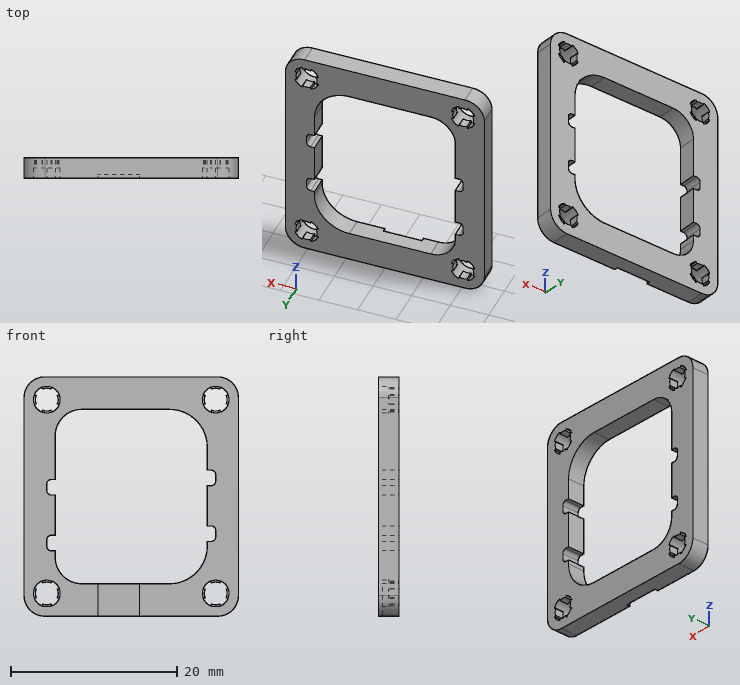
import cadquery as cq
import math

plate_width = 25.8
plate_height = 28.8
plate_thickness = 2.5
plate_corner_radius = 2.5
front_y = -plate_thickness / 2
back_y = plate_thickness / 2

window_width = 18.25
window_height = 20.95
window_left_radius = 3.17
window_right_radius = 4.52

notch_depth = 1.0
notch_height = 1.85
notch_corner_radius = 0.52
notch_pitch = 6.7
left_upper_notch_z = 1.12
right_upper_notch_z = 2.25

hole_diameter = 3.2
hole_spacing_x = 20.3
hole_spacing_z = 23.3
ribs_per_hole = 4
rib_inner_radius = 1.35
rib_sweep_angle = 44.0
rib_length = plate_thickness / 2

recess_width = 4.98
recess_center_x = -1.5
recess_depth = 0.5


def block(x_min, x_max, z_min, z_max, y_min, y_max):
    """Axis-aligned box given by its limits."""
    size = (x_max - x_min, y_max - y_min, z_max - z_min)
    return cq.Workplane("XY").box(*size, centered=False).translate((x_min, y_min, z_min))


def make_plate():
    plate = cq.Workplane("XY").box(plate_width, plate_thickness, plate_height)
    return plate.edges("|Y").fillet(plate_corner_radius)


def make_window():
    window = cq.Workplane("XY").box(window_width, plate_thickness, window_height)
    window = window.edges("|Y and <X").fillet(window_left_radius)
    return window.edges("|Y and >X").fillet(window_right_radius)


def make_notch(side, center_z):
    """Through notch on the -X (side = -1) or +X (side = 1) edge of the window."""
    notch = block(
        0, window_width / 2 + notch_depth,
        -notch_height / 2, notch_height / 2,
        front_y, back_y,
    )
    notch = notch.edges("|Y and >X").fillet(notch_corner_radius)
    if side < 0:
        notch = notch.mirror("YZ")
    return notch.translate((0, 0, center_z))


def make_rib():
    """Crush rib on the +X wall of a hole: a ring sector at the back of the plate."""
    hub = cq.Workplane("XZ", origin=(0, back_y, 0))
    reach = hole_diameter
    half_width = reach * math.tan(math.radians(rib_sweep_angle / 2))
    outline = [(0, 0), (reach, -half_width), (reach, half_width)]
    wedge = hub.polyline(outline).close().extrude(rib_length)
    core = hub.circle(rib_inner_radius).extrude(rib_length)
    return wedge.cut(core)


def make_hole_cutter():
    """Round hole on the Y axis, less the crush ribs left standing on its wall."""
    hub = cq.Workplane("XZ", origin=(0, back_y, 0))
    hole = hub.circle(hole_diameter / 2).extrude(plate_thickness)
    rib = make_rib()
    for i in range(ribs_per_hole):
        angle = i * 360 / ribs_per_hole
        hole = hole.cut(rib.rotate((0, 0, 0), (0, 1, 0), angle))
    return hole


def make_recess():
    """Front recess running from the bottom side of the plate up to the window."""
    return block(
        recess_center_x - recess_width / 2, recess_center_x + recess_width / 2,
        -plate_height / 2, -window_height / 2,
        front_y, front_y + recess_depth,
    )


result = make_plate().cut(make_window())

for side, upper_z in ((-1, left_upper_notch_z), (1, right_upper_notch_z)):
    for center_z in (upper_z, upper_z - notch_pitch):
        result = result.cut(make_notch(side, center_z))

hole_cutter = make_hole_cutter()
for x in (-hole_spacing_x / 2, hole_spacing_x / 2):
    for z in (-hole_spacing_z / 2, hole_spacing_z / 2):
        result = result.cut(hole_cutter.translate((x, 0, z)))

result = result.cut(make_recess())